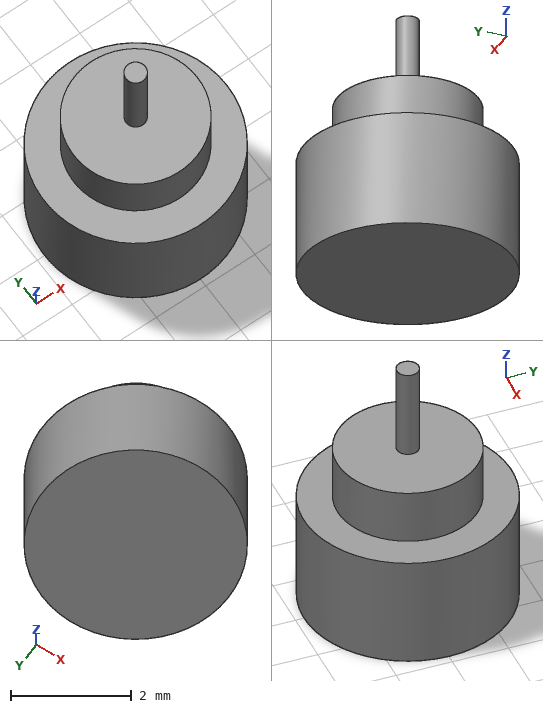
import cadquery as cq

total_height = 4.7
body_diameter = 3.7
collar_diameter = 2.5
pin_diameter = 0.39

body_height = 2.05
collar_height = 1.0
pin_height = total_height - body_height - collar_height


def add_cylinder(stack, diameter, height):
    """Stand a centred cylinder on the top face of the stack."""
    return stack.faces(">Z").workplane().circle(diameter / 2).extrude(height)


body = cq.Workplane("XY").circle(body_diameter / 2).extrude(body_height)
body_and_collar = add_cylinder(body, collar_diameter, collar_height)
result = add_cylinder(body_and_collar, pin_diameter, pin_height)